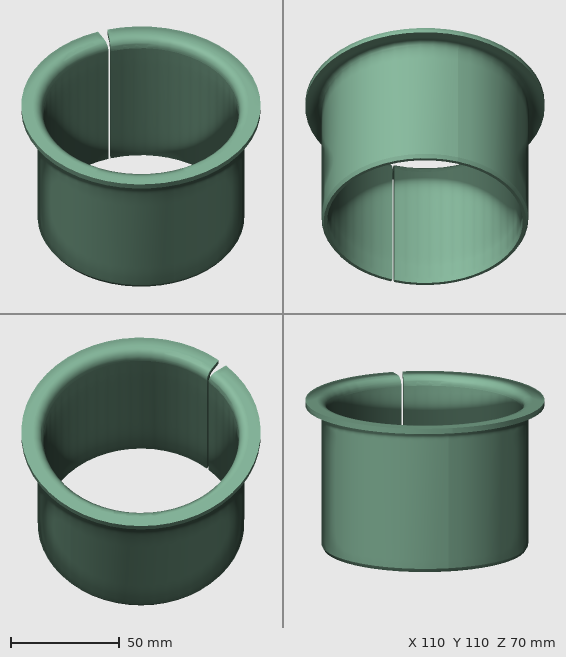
import cadquery as cq
import math

flange_diameter = 110.0
outer_diameter = 95.0
wall = 2.5
height = 70.0
inner_bend_radius = 2.0
outer_bend_radius = inner_bend_radius + wall
chamfer_width = 1.0
chamfer_height = 1.8

split_angle = 20.0
split_apex_radius = 42.1

flange_radius = flange_diameter / 2
outer_radius = outer_diameter / 2
bore_radius = outer_radius - wall
flange_underside = height - wall
bend_radius_centre = outer_radius + inner_bend_radius
bend_height_centre = flange_underside - inner_bend_radius


def bend_middle(radius):
    """Point halfway round the bend between the tube and the flange."""
    offset = radius * math.sqrt(0.5)
    return (bend_radius_centre - offset, bend_height_centre + offset)


def bush():
    """Revolved wall section with a bent flange and an outside lead-in chamfer."""
    return (
        cq.Workplane("XZ")
        .moveTo(bore_radius, 0)
        .lineTo(outer_radius - chamfer_width, 0)
        .lineTo(outer_radius, chamfer_height)
        .lineTo(outer_radius, bend_height_centre)
        .threePointArc(bend_middle(inner_bend_radius), (bend_radius_centre, flange_underside))
        .lineTo(flange_radius, flange_underside)
        .lineTo(flange_radius, height)
        .lineTo(bend_radius_centre, height)
        .threePointArc(bend_middle(outer_bend_radius), (bore_radius, bend_height_centre))
        .close()
        .revolve(360, (0, 0, 0), (0, 1, 0))
    )


def split_cut():
    """Full-height wedge whose apex lies inside the bore and which opens through the flange edge."""
    half_opening = (flange_radius - split_apex_radius) * math.tan(math.radians(split_angle / 2))
    return (
        cq.Workplane("XY")
        .moveTo(-split_apex_radius, 0)
        .lineTo(-flange_radius, half_opening)
        .lineTo(-flange_radius, -half_opening)
        .close()
        .extrude(height)
    )


result = bush().cut(split_cut())